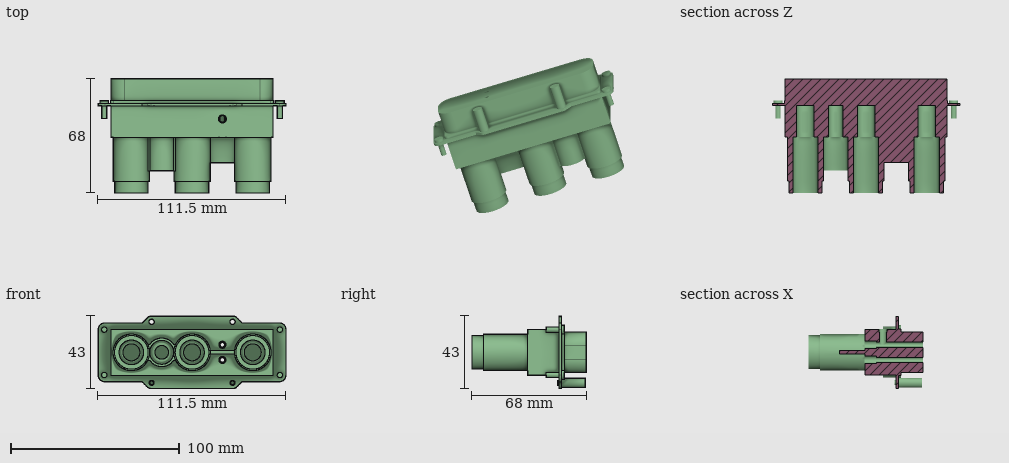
import cadquery as cq


hood_end = 16.25
tube_end = hood_end - 68.0
flange_thickness = 1.5
gasket_thickness = 1.65
gasket_end = flange_thickness + gasket_thickness
block_front = -18.6
tube_shoulder = -44.8
earth_tube_end = -38.6
web_end = -33.75

flange_length = 111.5
flange_height = 35.0
flange_corner_radius = 4.0
tab_height = 43.0
tab_rise = (tab_height - flange_height) / 2
tab_top_length = 51.2
tab_base_length = tab_top_length + 2 * tab_rise
tab_corner_radius = 3.0
tab_hole_diameter = 3.0
tab_hole_spacing = 48.0
tab_hole_height = 18.1

gasket_length = 97.0
gasket_height = 28.0
gasket_corner_radius = 2.0
block_length = 96.3
block_height = 27.3
hood_height = 24.2
hood_corner_radius = 8.0

pitch = 18.0
main_tube_centres = (-2 * pitch, 0.0, 2 * pitch)
main_tube_diameter = 21.7
main_tip_diameter = 20.0
main_bore_diameter = 14.6
main_contact_diameter = 10.1
earth_centre = -pitch
earth_tube_diameter = 17.0
earth_bore_diameter = 14.2
earth_contact_diameter = 8.1
earth_bridge_height = 9.5
web_centre = pitch
web_thickness = 2.2

wire_hole_diameter = 2.7
wire_entry_diameter = 4.2
wire_entry_depth = 7.0
wire_hole_height = 4.5
clamp_hole_diameter = 3.9
clamp_recess_diameter = 4.7
clamp_recess_depth = 1.7
clamp_hole_y = -7.7

screw_spacing_x = 104.2
screw_spacing_z = 26.9
screw_diameter = 3.2
screw_head_diameter = 5.3
screw_tip = -7.6
standoff_diameter = 5.6
standoff_end = 15.6
standoff_rivet_diameter = tab_hole_diameter
standoff_rivet_projection = 0.75
standoff_bore_diameter = 2.2
standoff_bore_depth = 12.0


def plate(length, height, y_start, y_end):
    """Box centred on the Y axis between two Y positions."""
    thickness = y_end - y_start
    centre = (0, (y_start + y_end) / 2, 0)
    return cq.Workplane("XY").box(length, thickness, height).translate(centre)


def rod(x, z, diameter, y_start, y_end):
    """Cylinder parallel to Y between two Y positions."""
    start = cq.Vector(x, y_start, z)
    direction = cq.Vector(0, 1, 0)
    return cq.Workplane(cq.Solid.makeCylinder(diameter / 2, y_end - y_start, start, direction))


def make_flange():
    body = plate(flange_length, flange_height, 0, flange_thickness)
    body = body.edges("|Y").fillet(flange_corner_radius)
    half_base = tab_base_length / 2
    half_top = tab_top_length / 2
    half_height = tab_height / 2
    root = flange_height / 2
    tabs = (
        cq.Workplane("XZ")
        .polyline([
            (-half_base, root),
            (-half_top, half_height),
            (half_top, half_height),
            (half_base, root),
            (half_base, -root),
            (half_top, -half_height),
            (-half_top, -half_height),
            (-half_base, -root),
        ])
        .close()
        .extrude(-flange_thickness)
    )
    tabs = tabs.edges("|Y and (>Z or <Z)").fillet(tab_corner_radius)
    flange = body.union(tabs)
    for side in (-1, 1):
        x = side * tab_hole_spacing / 2
        flange = flange.cut(rod(x, tab_hole_height, tab_hole_diameter, 0, flange_thickness))
    return flange


def make_housing():
    block = plate(block_length, block_height, block_front, flange_thickness)
    gasket = plate(gasket_length, gasket_height, flange_thickness, gasket_end)
    gasket = gasket.edges("|Y").fillet(gasket_corner_radius)
    hood = plate(block_length, hood_height, flange_thickness, hood_end)
    hood = hood.edges("|Y").fillet(hood_corner_radius)
    return block.union(gasket).union(hood)


def add_tubes(body):
    for x in main_tube_centres:
        body = body.union(rod(x, 0, main_tube_diameter, tube_shoulder, block_front))
        body = body.union(rod(x, 0, main_tip_diameter, tube_end, block_front))
    body = body.union(rod(earth_centre, 0, earth_tube_diameter, earth_tube_end, block_front))
    bridge = plate(2 * pitch, earth_bridge_height, earth_tube_end, block_front)
    body = body.union(bridge.translate((earth_centre, 0, 0)))
    web = plate(2 * pitch, web_thickness, web_end, block_front)
    return body.union(web.translate((web_centre, 0, 0)))


def cut_tube_bores(body):
    for x in main_tube_centres:
        body = body.cut(rod(x, 0, main_bore_diameter, tube_end, block_front))
        body = body.cut(rod(x, 0, main_contact_diameter, block_front, 0))
    body = body.cut(rod(earth_centre, 0, earth_bore_diameter, earth_tube_end, block_front))
    return body.cut(rod(earth_centre, 0, earth_contact_diameter, block_front, 0))


def cut_wire_holes(body):
    entry_end = block_front + wire_entry_depth
    for z in (-wire_hole_height, wire_hole_height):
        body = body.cut(rod(pitch, z, wire_hole_diameter, block_front, hood_end))
        body = body.cut(rod(pitch, z, wire_entry_diameter, block_front, entry_end))
    block_top = block_height / 2
    clamp_hole = (
        cq.Workplane("XY", origin=(pitch, clamp_hole_y, wire_hole_height))
        .circle(clamp_hole_diameter / 2)
        .extrude(block_top - wire_hole_height)
    )
    recess = (
        cq.Workplane("XY", origin=(pitch, clamp_hole_y, block_top))
        .circle(clamp_recess_diameter / 2)
        .extrude(-clamp_recess_depth)
    )
    return body.cut(clamp_hole).cut(recess)


def add_screws(body):
    for side_x in (-1, 1):
        for side_z in (-1, 1):
            x = side_x * screw_spacing_x / 2
            z = side_z * screw_spacing_z / 2
            body = body.union(rod(x, z, screw_diameter, screw_tip, flange_thickness))
            body = body.union(rod(x, z, screw_head_diameter, flange_thickness, gasket_end))
    return body


def add_standoffs(body):
    for side in (-1, 1):
        x = side * tab_hole_spacing / 2
        z = -tab_hole_height
        rivet_end = -standoff_rivet_projection
        bore_end = rivet_end + standoff_bore_depth
        body = body.union(rod(x, z, standoff_diameter, flange_thickness, standoff_end))
        body = body.union(rod(x, z, standoff_rivet_diameter, rivet_end, flange_thickness))
        body = body.cut(rod(x, z, standoff_bore_diameter, rivet_end, bore_end))
    return body


part = make_flange().union(make_housing())
part = add_tubes(part)
part = cut_tube_bores(part)
part = cut_wire_holes(part)
part = add_screws(part)
result = add_standoffs(part)